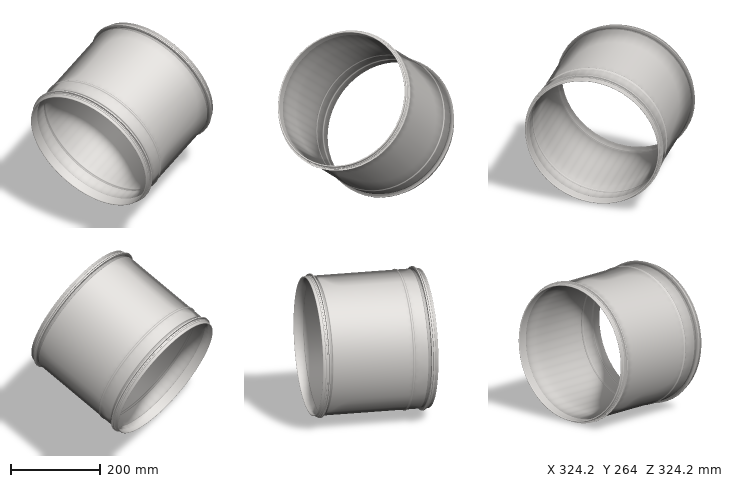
import cadquery as cq

length = 264.0
tube_radius = 314.0 / 2
groove_radius = 309.0 / 2
bore_radius = 308 / 2
wall = groove_radius - bore_radius
half_length = length / 2

neck_start = 21.0
neck_end = 24.3
hem_radius = (tube_radius - bore_radius) / 2
hem_center_radius = (tube_radius + bore_radius) / 2
hem_leaf_end = 6.0

bead_from_end = 55.0
bead_width = 7.5
bead_height = 2.0
bead_foot_share = 0.35
bead_y = bead_from_end - half_length

seal_shoulder_radius = 158.2
seal_shoulder_start = 7.0
seal_land_radius = 156.3
short_lip_radius = 319.5 / 2
short_lip_start = 9.7
short_lip_end = 11.5
tall_lip_radius = 324.2 / 2
tall_lip_start = 13.5
tall_lip_end = 16.0
seal_end = 16.2


def revolve_about_y(profile):
    """Turn a closed profile drawn in the XY plane around the Y axis."""
    return profile.close().revolve(360, (0, 0, 0), (0, 1, 0))


def tube_envelope(inset):
    """Solid bounded by the tube surface moved inwards by the inset, without the hems."""
    land = tube_radius - inset
    neck = groove_radius - inset
    neck_middle = (land + neck) / 2
    neck_middle_y = half_length - (neck_start + neck_end) / 2
    body_end = half_length - hem_radius
    half_bead = bead_width / 2
    flank_radius = land + bead_foot_share * bead_height
    flank_offset = (1 - bead_foot_share) * half_bead
    profile = (
        cq.Workplane("XY")
        .moveTo(0, -body_end)
        .lineTo(neck, -body_end)
        .lineTo(neck, -half_length + neck_start)
        .tangentArcPoint((neck_middle, -neck_middle_y), relative=False)
        .tangentArcPoint((land, -half_length + neck_end), relative=False)
        .lineTo(land, bead_y - half_bead)
        .tangentArcPoint((flank_radius, bead_y - flank_offset), relative=False)
        .tangentArcPoint((flank_radius, bead_y + flank_offset), relative=False)
        .tangentArcPoint((land, bead_y + half_bead), relative=False)
        .lineTo(land, half_length - neck_end)
        .tangentArcPoint((neck_middle, neck_middle_y), relative=False)
        .tangentArcPoint((neck, half_length - neck_start), relative=False)
        .lineTo(neck, body_end)
        .lineTo(0, body_end)
    )
    return revolve_about_y(profile)


def make_hem(side):
    """Half-round fold and outer leaf at the -Y end (side = -1) or +Y end (side = 1)."""
    fold_y = side * (half_length - hem_radius)
    leaf_y = side * (half_length - hem_leaf_end)
    profile = (
        cq.Workplane("XY")
        .moveTo(bore_radius, fold_y)
        .threePointArc((hem_center_radius, side * half_length), (tube_radius, fold_y))
        .lineTo(tube_radius, leaf_y)
        .lineTo(tube_radius - wall, leaf_y)
        .lineTo(tube_radius - wall, fold_y)
        .threePointArc((hem_center_radius, side * (half_length - wall)), (groove_radius, fold_y))
    )
    return revolve_about_y(profile)


def make_tube():
    """Beaded, necked and hemmed tube of thin sheet."""
    tube = tube_envelope(0).cut(tube_envelope(wall))
    for side in (-1, 1):
        tube = tube.union(make_hem(side))
    return tube


def make_seal(side):
    """Double-lip seal around the neck at the -Y end (side = -1) or +Y end (side = 1)."""
    def at(radius, from_end):
        return (radius, side * (half_length - from_end))

    profile = cq.Workplane("XY").polyline([
        at(groove_radius, hem_leaf_end),
        at(tube_radius, hem_leaf_end),
        at(seal_shoulder_radius, seal_shoulder_start),
        at(seal_shoulder_radius, short_lip_start),
        at(short_lip_radius, short_lip_start),
        at(short_lip_radius, short_lip_end),
        at(seal_land_radius, short_lip_end),
        at(seal_land_radius, tall_lip_start),
        at(tall_lip_radius, tall_lip_start),
        at(tall_lip_radius, tall_lip_end),
        at(seal_land_radius, seal_end),
        at(groove_radius, seal_end),
    ])
    return revolve_about_y(profile)


tube = make_tube()
seals = [make_seal(side) for side in (-1, 1)]

result = cq.Compound.makeCompound([tube.val(), *[seal.val() for seal in seals]])